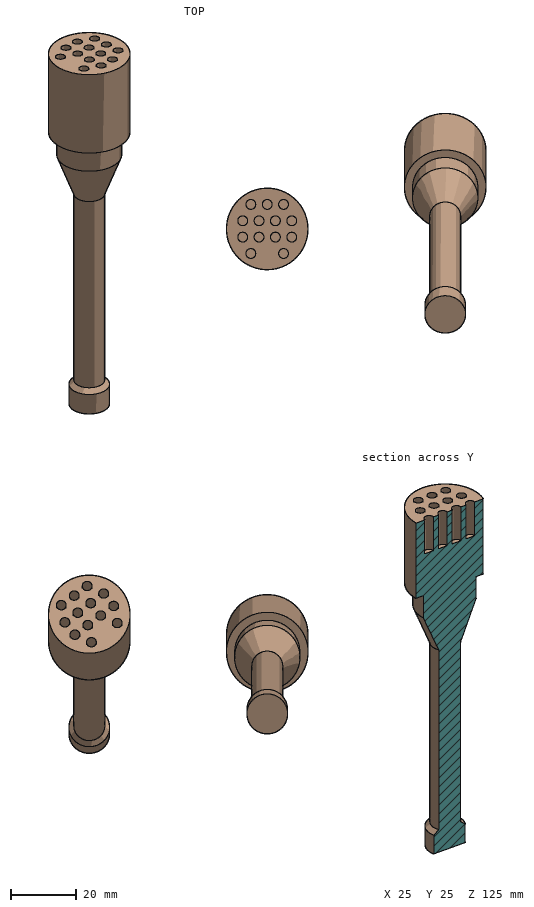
import cadquery as cq

total_length = 125.0

head_diameter = 25.0
head_length = 28.0
collar_diameter = 20.0
collar_length = 8.0
taper_length = 14.0
stem_diameter = 9.5
foot_diameter = 12.5
foot_length = 7.0

hole_diameter = 3.0
hole_depth = 12.5
pitch = 5.0

head_bottom = total_length - head_length
collar_bottom = head_bottom - collar_length
taper_bottom = collar_bottom - taper_length
flare_height = (foot_diameter - stem_diameter) / 2

contact_rows = [
    (1.5 * pitch, [-pitch, 0, pitch]),
    (0.5 * pitch, [-1.5 * pitch, -0.5 * pitch, 0.5 * pitch, 1.5 * pitch]),
    (-0.5 * pitch, [-1.5 * pitch, -0.5 * pitch, 0.5 * pitch, 1.5 * pitch]),
    (-1.5 * pitch, [-pitch, pitch]),
]


def make_body():
    """Revolve the stepped half-profile about the Z axis."""
    return (
        cq.Workplane("XZ")
        .lineTo(foot_diameter / 2, 0)
        .lineTo(foot_diameter / 2, foot_length)
        .lineTo(stem_diameter / 2, foot_length + flare_height)
        .lineTo(stem_diameter / 2, taper_bottom)
        .lineTo(collar_diameter / 2, collar_bottom)
        .lineTo(collar_diameter / 2, head_bottom)
        .lineTo(head_diameter / 2, head_bottom)
        .lineTo(head_diameter / 2, total_length)
        .lineTo(0, total_length)
        .close()
        .revolve(360, (0, 0, 0), (0, 1, 0))
    )


def make_contact_holes():
    """Blind holes sunk from the top face, one per contact."""
    centers = [(x, y) for y, row in contact_rows for x in row]
    return (
        cq.Workplane("XY", origin=(0, 0, total_length))
        .pushPoints(centers)
        .circle(hole_diameter / 2)
        .extrude(-hole_depth)
    )


result = make_body().cut(make_contact_holes())